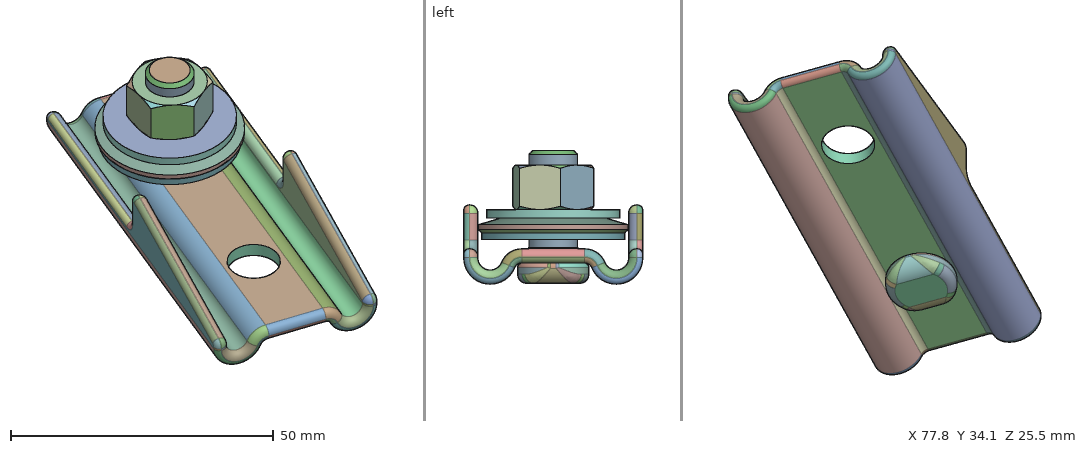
import cadquery as cq
import math

plate_length = 77.8
plate_width = 34.15
sheet = 2.7
trough_radius = 5.05
strip_half_width = 6.0
strip_top = 6.8
wall_peak = 15.55
corner_radius = 1.6
inner_edge_radius = 1.55
outer_edge_radius = 1.1
hole_diameter = 10.1
hole_margin = 19.8

shaft_diameter = 9.3
neck_diameter = 9.5
neck_top = 7.0
bolt_top = 25.5
bolt_chamfer = 0.8
head_diameter = 13.6
head_bottom = 0.15
head_end_radius = 3.5
head_edge_radius = 1.8
head_rim_radius = 0.85

nut_bottom = 14.2
nut_height = 8.5
nut_across_flats = 14.3
nut_turn = 9.3
nut_chamfer_angle = 30.0
washer_bore = 10.35
flat_washer_diameter = 25.4
flat_washer_thickness = 1.6
cone_base_diameter = 27.3
cone_rim_diameter = 28.55
cone_top_diameter = 20.2
cone_bottom = 8.5
cone_base_height = 1.3
cone_undercut_height = 0.6
cone_rim_height = 0.9

half_width = plate_width / 2
trough_y = half_width - trough_radius
trough_inner_radius = trough_radius - sheet
strip_bottom = strip_top - sheet
bolt_x = hole_margin
bolt_hole_centres = [(hole_margin, 0), (plate_length - hole_margin, 0)]
flat_washer_bottom = nut_bottom - flat_washer_thickness


def strip_bend_radius():
    """Top radius of the bend that is tangent to the flat strip and to the trough."""
    run = trough_y - strip_half_width
    drop = trough_radius - strip_top
    return (run**2 + drop**2 - trough_inner_radius**2) / (2 * (trough_inner_radius - drop))


def point_on(centre, radius, angle):
    return (centre[0] + radius * math.cos(angle), centre[1] + radius * math.sin(angle))


def mirrored(point):
    return (-point[0], point[1])


def skin_path(bend_radius, trough_skin_radius, strip_z, wall_y):
    """One skin of the bent sheet in the YZ plane, from the left wall top to the right."""
    bend = (strip_half_width, strip_top - strip_bend_radius())
    trough = (trough_y, trough_radius)
    tangent_angle = math.atan2(trough[1] - bend[1], trough[0] - bend[0])

    wall_top = (wall_y, wall_peak)
    wall_foot = (wall_y, trough_radius)
    trough_middle = point_on(trough, trough_skin_radius, tangent_angle / 2 - math.pi / 2)
    tangent = point_on(bend, bend_radius, tangent_angle)
    bend_middle = point_on(bend, bend_radius, tangent_angle / 2 + math.pi / 4)
    strip_end = (strip_half_width, strip_z)

    return (
        cq.Workplane("YZ")
        .moveTo(*mirrored(wall_top))
        .lineTo(*mirrored(wall_foot))
        .threePointArc(mirrored(trough_middle), mirrored(tangent))
        .threePointArc(mirrored(bend_middle), mirrored(strip_end))
        .lineTo(*strip_end)
        .threePointArc(bend_middle, tangent)
        .threePointArc(trough_middle, wall_foot)
        .lineTo(*wall_top)
    )


def inner_skin():
    return skin_path(strip_bend_radius(), trough_inner_radius, strip_top, half_width - sheet)


def outer_skin():
    return skin_path(strip_bend_radius() - sheet, trough_radius, strip_bottom, half_width)


def bent_sheet():
    """Bent sheet over the whole plate length, with both walls at full height."""
    inner_edges = inner_skin().wire().val().Edges()
    outer_edges = outer_skin().wire().val().Edges()
    wall_tops = [
        cq.Edge.makeLine(
            cq.Vector(0, side * (half_width - sheet), wall_peak),
            cq.Vector(0, side * half_width, wall_peak),
        )
        for side in (-1, 1)
    ]
    section = cq.Wire.assembleEdges(inner_edges + [wall_tops[1]] + outer_edges[::-1] + [wall_tops[0]])
    return cq.Workplane(cq.Solid.extrudeLinear(section, [], cq.Vector(plate_length, 0, 0)))


def side_outline():
    """Side outline of the plate: low walls, then walls that slope down to the far end."""
    wall_start = plate_length / 2
    outline = (
        cq.Workplane("XZ")
        .polyline([
            (0, 0),
            (plate_length, 0),
            (plate_length, strip_top),
            (wall_start, wall_peak),
            (wall_start, strip_top),
            (0, strip_top),
        ])
        .close()
        .extrude(half_width, both=True)
    )
    upper_corners = cq.selectors.BoxSelector(
        (-sheet, -half_width, strip_bottom),
        (plate_length + sheet, half_width, wall_peak + sheet),
    )
    return outline.edges("|Y").edges(upper_corners).fillet(corner_radius)


def rim_edges(plate, skin):
    """Edges of the plate that bound one skin, without the lengthwise tangent lines."""
    near_end = skin.wire().val()
    far_end = near_end.translate(cq.Vector(plate_length, 0, 0))
    skin_sheet = cq.Face.makeRuledSurface(near_end, far_end)
    tolerance = 0.001
    found = []
    for edge in plate.edges().vals():
        middle = cq.Vertex.makeVertex(*edge.positionAt(0.5).toTuple())
        runs_lengthwise = edge.Length() > plate_length - tolerance
        if not runs_lengthwise and middle.distance(skin_sheet) < tolerance:
            found.append(edge)
    return found


def clamp_plate():
    strip_keeper = cq.Workplane("XY").box(
        plate_length, 2 * trough_y, 2 * strip_top, centered=(False, True, True)
    )
    plate = bent_sheet().intersect(side_outline().union(strip_keeper))
    plate = plate.newObject(rim_edges(plate, inner_skin())).fillet(inner_edge_radius)
    plate = plate.newObject(rim_edges(plate, outer_skin())).fillet(outer_edge_radius)
    holes = (
        cq.Workplane("XY")
        .pushPoints(bolt_hole_centres)
        .circle(hole_diameter / 2)
        .extrude(strip_top)
    )
    return plate.cut(holes)


def disc(diameter, bottom, height):
    return cq.Workplane("XY", origin=(bolt_x, 0, bottom)).circle(diameter / 2).extrude(height)


def bolt():
    """Shaft with a chamfered tip on a round head whose lower ends are rounded along X."""
    neck = disc(neck_diameter, strip_bottom, neck_top - strip_bottom)
    shaft = disc(shaft_diameter, neck_top, bolt_top - neck_top).faces(">Z").chamfer(bolt_chamfer)
    head_height = strip_bottom - head_bottom
    rounded_ends = (
        cq.Workplane("XY", origin=(bolt_x, 0, head_bottom))
        .box(head_diameter, 2 * head_diameter, head_height, centered=(True, True, False))
        .edges("|Y and <Z")
        .fillet(head_end_radius)
    )
    head = disc(head_diameter, head_bottom, head_height).intersect(rounded_ends)
    below_head_top = cq.selectors.BoxSelector(
        (bolt_x - head_diameter, -head_diameter, head_bottom - head_height),
        (bolt_x + head_diameter, head_diameter, strip_bottom - head_edge_radius / 2),
    )
    head = head.edges("not(%LINE)").edges(below_head_top).fillet(head_edge_radius)
    head = head.faces(">Z").edges().fillet(head_rim_radius)
    return head.union(neck).union(shaft)


def nut():
    """Hexagon nut, turned about Z, with conical chamfers on both ends."""
    hex_corner_radius = nut_across_flats / math.sqrt(3)
    blank = (
        cq.Workplane("XY", origin=(bolt_x, 0, nut_bottom))
        .transformed(rotate=(0, 0, nut_turn))
        .polygon(6, 2 * hex_corner_radius)
        .extrude(nut_height)
    )
    chamfer_width = hex_corner_radius - nut_across_flats / 2
    chamfer_height = chamfer_width * math.tan(math.radians(nut_chamfer_angle))
    envelope = (
        disc(2 * hex_corner_radius, nut_bottom, nut_height)
        .faces("<Z or >Z")
        .edges()
        .chamfer(chamfer_height, chamfer_width)
    )
    return blank.intersect(envelope).cut(disc(shaft_diameter, nut_bottom, nut_height))


def flat_washer():
    ring = disc(flat_washer_diameter, flat_washer_bottom, flat_washer_thickness)
    return ring.cut(disc(washer_bore, flat_washer_bottom, flat_washer_thickness))


def conical_washer():
    """Turned washer: cylindrical base, undercut, outer rim and a conical top."""
    base_top = cone_bottom + cone_base_height
    rim_bottom = base_top + cone_undercut_height
    rim_top = rim_bottom + cone_rim_height
    return (
        cq.Workplane("XZ", origin=(bolt_x, 0, 0))
        .polyline([
            (washer_bore / 2, cone_bottom),
            (cone_base_diameter / 2, cone_bottom),
            (cone_base_diameter / 2, base_top),
            (cone_rim_diameter / 2, rim_bottom),
            (cone_rim_diameter / 2, rim_top),
            (cone_top_diameter / 2, flat_washer_bottom),
            (washer_bore / 2, flat_washer_bottom),
        ])
        .close()
        .revolve(360, (0, 0, 0), (0, 1, 0))
    )


result = cq.Compound.makeCompound([
    clamp_plate().val(),
    bolt().val(),
    nut().val(),
    flat_washer().val(),
    conical_washer().val(),
])